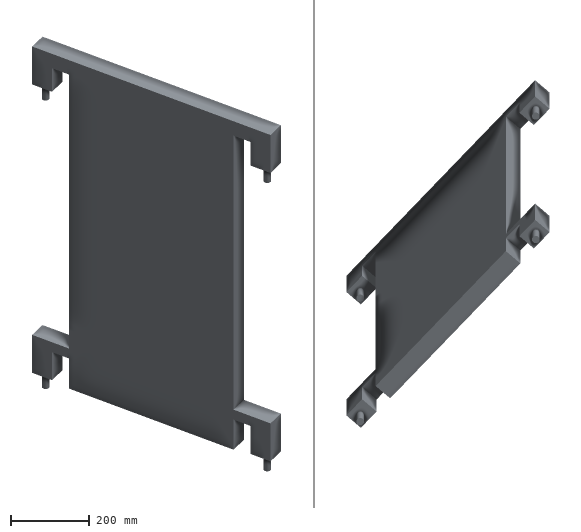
import cadquery as cq

height = 1090.0
span = 720.0
thickness = 50.0

pin_diameter = 20.0
pin_length = 50.0
pin_inset = 25.0

panel_width = 497.0
panel_bottom = 44.0

foot_width = 60.0
upper_arm_top = height
upper_foot_height = 121.0
upper_bar_height = 46.0
lower_arm_top = 171.0
lower_bar_height = 32.0
lower_foot_height = lower_arm_top - pin_length

pin_x = span / 2 - pin_inset


def block(x_size, x_center, z_bottom, z_top):
    """Full-thickness block between two heights, centred on Y = 0."""
    z_size = z_top - z_bottom
    z_center = z_bottom + z_size / 2
    return cq.Workplane("XY").box(x_size, thickness, z_size).translate((x_center, 0, z_center))


def arm_pair(arm_top, bar_height, foot_height):
    """Cross bar with a foot and a downward pin at each end."""
    foot_bottom = arm_top - foot_height
    pair = block(span, 0, arm_top - bar_height, arm_top)
    for side in (-1, 1):
        foot = block(foot_width, side * (span - foot_width) / 2, foot_bottom, arm_top)
        pin = (
            cq.Workplane("XY", origin=(side * pin_x, 0, foot_bottom))
            .circle(pin_diameter / 2)
            .extrude(-pin_length)
        )
        pair = pair.union(foot).union(pin)
    return pair


panel = block(panel_width, 0, panel_bottom, height)
upper_arms = arm_pair(upper_arm_top, upper_bar_height, upper_foot_height)
lower_arms = arm_pair(lower_arm_top, lower_bar_height, lower_foot_height)

result = panel.union(upper_arms).union(lower_arms)